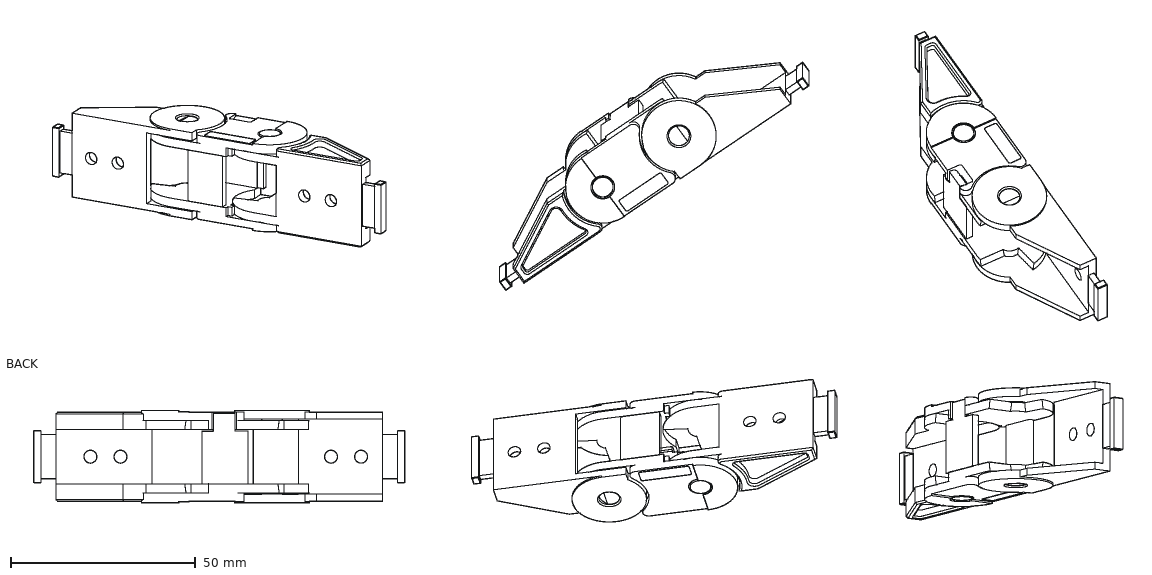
import cadquery as cq
import math

LINK_HEIGHT = 20.2
CHAIN_WIDTH = 25.0
LINK_RADIUS = LINK_HEIGHT / 2
PIN_X = (-14.2, 10.9)
END_X = 44.1
STUB_END_X = 50.2

DISC_Z = CHAIN_WIDTH / 2
SIDE_Z = 12.0
SPLIT_Z = 9.8
MID_WALL_Z = (SPLIT_Z + SIDE_Z) / 2
INNER_Z = 7.3
FLOOR_Y = -LINK_RADIUS

PIN_RADIUS = 2.8
RIM_CHAMFER = 0.4
SHOULDER_RADIUS = 10.7

BRACKET_TOP_Y = 4.8
BRACKET_TIP_Y = -5.0


def box(x0, x1, y0, y1, z0, z1):
    return cq.Workplane("XY").box(x1 - x0, y1 - y0, z1 - z0, centered=False).translate((x0, y0, z0))


def disc(x, radius, z0, z1):
    return cq.Workplane("XY", origin=(x, 0, z0)).circle(radius).extrude(z1 - z0)


def prism(points, z0, z1):
    return cq.Workplane("XY", origin=(0, 0, z0)).polyline(points).close().extrude(z1 - z0)


def both_sides(upper):
    """The upper side wall and its mirror copy at -Z."""
    return upper.union(upper.mirror("XY"))


STOP_BACK = 1.6
STOP_Y = (-2.2, -0.8)
STOP_OVERRUN = 1.0
STOP_DRAFT = 8
HUB_RADIUS = 3.3


def inner_ear(pin_x, root_x, root_top_y):
    """Round ear with a stop gap in its upper -X quarter and a hub around the joint axis."""
    ear = disc(pin_x, LINK_RADIUS, INNER_Z, SPLIT_Z)
    ear = ear.union(box(pin_x, root_x, FLOOR_Y, root_top_y, INNER_Z, SPLIT_Z))
    rim_x = pin_x - LINK_RADIUS - STOP_OVERRUN
    top_y = LINK_RADIUS + STOP_OVERRUN
    back_x = pin_x - STOP_BACK
    gap = (
        cq.Workplane("XY", origin=(0, 0, INNER_Z))
        .polyline([(rim_x, STOP_Y[0]), (back_x, STOP_Y[1]), (back_x, top_y), (rim_x, top_y)])
        .close()
        .extrude(SPLIT_Z - INNER_Z, taper=STOP_DRAFT)
    )
    return ear.cut(gap).union(disc(pin_x, HUB_RADIUS, INNER_Z, SPLIT_Z))


def pin_hole(pin_x, inner_z, face_z):
    """Hole through an outer ear with a bevelled rim at face_z, open above it."""
    hole = disc(pin_x, PIN_RADIUS, inner_z, face_z)
    rim = disc(pin_x, PIN_RADIUS + RIM_CHAMFER, face_z - RIM_CHAMFER, DISC_Z + RIM_CHAMFER)
    return hole.union(rim.faces("<Z").chamfer(RIM_CHAMFER))


def cut_shoulder(wall, pin_x, corner_y, horn_radius):
    """Cut a concave shoulder around a joint disc and round the horns it leaves at height corner_y."""
    clearance = disc(pin_x, SHOULDER_RADIUS, SPLIT_Z, SIDE_Z)
    wall = wall.cut(clearance)
    for y in corner_y:
        corner_x = pin_x + math.sqrt(SHOULDER_RADIUS ** 2 - y ** 2)
        horn_edge = cq.selectors.NearestToPointSelector((corner_x, y, MID_WALL_Z))
        wall = wall.edges(horn_edge).fillet(horn_radius)
    return wall


STUB_HALF_WIDTH = 7.1
STUB_HEAD_LENGTH = 2.0
STUB_HEAD_TOP_Y = -7.1
STUB_HEAD_CHAMFER = 0.2
NECK_HALF_WIDTH = 6.0
NECK_Y = (-9.3, -7.5)


def stub(side):
    """T-shaped strain-relief stub; side is -1 for the left end and 1 for the right."""
    head_x = STUB_END_X - STUB_HEAD_LENGTH
    neck = box(END_X, head_x, *NECK_Y, -NECK_HALF_WIDTH, NECK_HALF_WIDTH)
    head = box(head_x, STUB_END_X, FLOOR_Y, STUB_HEAD_TOP_Y, -STUB_HALF_WIDTH, STUB_HALF_WIDTH)
    head = head.faces("<Z or >Z").chamfer(STUB_HEAD_CHAMFER)
    body = neck.union(head)
    return body if side > 0 else body.mirror("YZ")


HOLE_RADIUS = 1.7
HOLE_PITCH = 8.1


def screw_holes(first_x):
    """Two screw holes through the bottom plate, at first_x and one pitch further along +X."""
    holes = cq.Workplane("XZ", origin=(0, LINK_RADIUS, 0))
    holes = holes.pushPoints([(first_x, 0), (first_x + HOLE_PITCH, 0)])
    return holes.circle(HOLE_RADIUS).extrude(2 * LINK_RADIUS)


LEFT_SLOPE_X = -26.3
LEFT_EAR_X = -7.5
LEFT_EAR_CORNER_Y = -7.3
LEFT_WINDOW_X = -21.4
LEFT_PLATE_THICKNESS = 2.4
LEFT_EAR_Z = 10.1
LEFT_HOLE_X = -38.3


def make_left_bracket():
    pin_x = PIN_X[0]
    profile = [
        (-END_X, FLOOR_Y), (LEFT_EAR_X, FLOOR_Y), (LEFT_EAR_X, LEFT_EAR_CORNER_Y),
        (pin_x, BRACKET_TOP_Y), (LEFT_SLOPE_X, BRACKET_TOP_Y), (-END_X, BRACKET_TIP_Y),
    ]
    side = prism(profile, LEFT_EAR_Z, SIDE_Z)
    side = side.union(disc(pin_x, LINK_RADIUS, LEFT_EAR_Z, DISC_Z))
    side = side.union(box(pin_x, LEFT_EAR_X, FLOOR_Y, LEFT_EAR_CORNER_Y, SIDE_Z, DISC_Z))
    side = side.cut(pin_hole(pin_x, LEFT_EAR_Z, DISC_Z))
    plate = box(-END_X, LEFT_WINDOW_X, FLOOR_Y, FLOOR_Y + LEFT_PLATE_THICKNESS, -SIDE_Z, SIDE_Z)
    return plate.union(both_sides(side)).union(stub(-1)).cut(screw_holes(LEFT_HOLE_X))


MIDDLE_HORN_RADIUS = 1.7
EAR_CLEARANCE = 0.1
WALL_END_X = 2.9
LIP_END_X = 4.1
LIP_Y = (-9.0, -7.4)

WEB_X = (-9.2, 1.7)
WEB_Y = (-9.9, -8.0)
WEB_ROUND = 0.9

LABEL_X = (-4.2, 9.7)
LABEL_Y = (-9.4, -5.6)
LABEL_DEPTH = 0.1
LABEL_CORNER = 0.5

NOTCH_X = (-4.7, 2.0)
NOTCH_FLOOR_Y = 5.8
NOTCH_CORNER = 0.6

LEFT_PIN_Z = 11.9
PIN_RAMP_START = 1.0
PIN_RAMP_DROP = 0.9


def middle_outer_wall():
    """Outer layer: concave shoulder on the left, round ear on the right."""
    left_x, right_x = PIN_X
    wall = box(left_x, right_x, FLOOR_Y, LINK_RADIUS, SPLIT_Z, SIDE_Z)
    wall = cut_shoulder(wall, left_x, (FLOOR_Y, LINK_RADIUS), MIDDLE_HORN_RADIUS)
    wall = wall.union(disc(right_x, LINK_RADIUS, SPLIT_Z, SIDE_Z))
    raised = disc(right_x, LINK_RADIUS, SIDE_Z, DISC_Z)
    return wall.union(raised.intersect(box(right_x, END_X, FLOOR_Y, LINK_RADIUS, SIDE_Z, DISC_Z)))


def middle_inner_wall():
    """Inner layer: left ear, and a concave end with a small lip facing the right ear."""
    left_x, right_x = PIN_X
    wall = inner_ear(left_x, WALL_END_X, LINK_RADIUS)
    wall = wall.union(box(WALL_END_X, LIP_END_X, *LIP_Y, INNER_Z, SPLIT_Z))
    return wall.cut(disc(right_x, LINK_RADIUS + EAR_CLEARANCE, INNER_Z, SPLIT_Z))


def ramped_pin():
    """Left joint pin: its end ramps down towards -X so that it snaps into the bracket."""
    pin_x = PIN_X[0]
    ramp = (
        cq.Workplane("XZ", origin=(0, PIN_RADIUS, 0))
        .moveTo(pin_x - PIN_RAMP_START, LEFT_PIN_Z)
        .lineTo(pin_x - PIN_RADIUS, LEFT_PIN_Z - PIN_RAMP_DROP)
        .lineTo(pin_x - PIN_RADIUS, LEFT_PIN_Z)
        .close()
        .extrude(2 * PIN_RADIUS)
    )
    return disc(pin_x, PIN_RADIUS, SPLIT_Z, LEFT_PIN_Z).cut(ramp)


def rounded_pocket(x_range, y_range, z0, z1, corner):
    return box(*x_range, *y_range, z0, z1).edges("|Z").fillet(corner)


def crossbar_notch():
    notch_top_y = LINK_RADIUS + 2 * NOTCH_CORNER
    return rounded_pocket(NOTCH_X, (NOTCH_FLOOR_Y, notch_top_y), INNER_Z, SIDE_Z, NOTCH_CORNER)


def middle_web():
    """Cross web between the side walls with a fully rounded left end."""
    web = box(*WEB_X, *WEB_Y, -INNER_Z, INNER_Z)
    return web.edges("|Z and <X").fillet(WEB_ROUND)


def make_middle_link():
    side = middle_outer_wall().union(middle_inner_wall())
    side = side.cut(pin_hole(PIN_X[1], SPLIT_Z, SIDE_Z)).union(ramped_pin())
    side = side.cut(rounded_pocket(LABEL_X, LABEL_Y, SIDE_Z - LABEL_DEPTH, SIDE_Z, LABEL_CORNER))
    return both_sides(side).union(middle_web()).cut(crossbar_notch())


RIGHT_SLOPE_X = 26.0
RIGHT_WINDOW_X = 18.2
RIGHT_PLATE_THICKNESS = 2.8
RIGHT_HORN_RADIUS = 1.2
RIGHT_HOLE_X = 26.7
RIGHT_PIN_Z = 12.2
EDGE_CHAMFER = 0.5

POCKET_RADIUS = 13.2
POCKET_FLOOR_Y = -8.1
POCKET_TIP_X = 41.8
POCKET_WALL = 2.0
POCKET_CORNER = 0.6
POCKET_TOP_CORNER = 1.5


def right_outline(start_x):
    """Side outline of the bracket from start_x to its outer end."""
    return [
        (start_x, FLOOR_Y), (END_X, FLOOR_Y), (END_X, BRACKET_TIP_Y),
        (RIGHT_SLOPE_X, BRACKET_TOP_Y), (start_x, BRACKET_TOP_Y),
    ]


def side_pocket():
    """Pocket bounded by an arc about the joint, a floor, an end and a line parallel to the slope."""
    pin_x = PIN_X[1]
    slope = (BRACKET_TIP_Y - BRACKET_TOP_Y) / (END_X - RIGHT_SLOPE_X)
    drop = POCKET_WALL * math.hypot(1, slope)

    def top_y(x):
        return BRACKET_TOP_Y + slope * (x - RIGHT_SLOPE_X) - drop

    pocket = prism([
        (pin_x, POCKET_FLOOR_Y), (POCKET_TIP_X, POCKET_FLOOR_Y),
        (POCKET_TIP_X, top_y(POCKET_TIP_X)), (pin_x, top_y(pin_x)),
    ], SPLIT_Z, SIDE_Z)
    pocket = pocket.cut(disc(pin_x, POCKET_RADIUS, SPLIT_Z, SIDE_Z))
    pocket = pocket.edges("|Z and >Y").fillet(POCKET_TOP_CORNER)
    sharp_corners = "(|Z and <Y) or (|Z and >X)"
    return pocket.edges(sharp_corners).fillet(POCKET_CORNER)


def right_outer_wall():
    pin_x = PIN_X[1]
    wall = prism(right_outline(pin_x), SPLIT_Z, SIDE_Z)
    wall = cut_shoulder(wall, pin_x, (FLOOR_Y,), RIGHT_HORN_RADIUS)
    return wall.cut(side_pocket()).faces(">Z").chamfer(EDGE_CHAMFER)


def make_right_bracket():
    side = inner_ear(PIN_X[1], RIGHT_WINDOW_X, BRACKET_TOP_Y)
    side = side.union(prism(right_outline(RIGHT_WINDOW_X), INNER_Z, SPLIT_Z))
    side = side.union(right_outer_wall()).union(disc(PIN_X[1], PIN_RADIUS, SPLIT_Z, RIGHT_PIN_Z))
    plate = box(RIGHT_WINDOW_X, END_X, FLOOR_Y, FLOOR_Y + RIGHT_PLATE_THICKNESS, -INNER_Z, INNER_Z)
    return plate.union(both_sides(side)).union(stub(1)).cut(screw_holes(RIGHT_HOLE_X))


CROSSBAR_X = (-7.8, 4.7)
CROSSBAR_STEP_X = 2.9
CROSSBAR_STEP = 0.3
CROSSBAR_Y = (7.8, 9.7)
CROSSBAR_TOP_Z = 6.9
TONGUE_X = (-4.3, 1.6)
TONGUE_FLOOR_Y = 7.0
TONGUE_TOP_Z = 11.7
TONGUE_ROUND = 2.5


def make_crossbar():
    bar = box(*CROSSBAR_X, *CROSSBAR_Y, -INNER_Z, CROSSBAR_TOP_Z)
    step_y = (CROSSBAR_Y[0], CROSSBAR_Y[0] + CROSSBAR_STEP)
    bar = bar.cut(box(CROSSBAR_STEP_X, CROSSBAR_X[1], *step_y, -INNER_Z, CROSSBAR_TOP_Z))
    neck = box(*TONGUE_X, *CROSSBAR_Y, CROSSBAR_TOP_Z, INNER_Z)
    tongue = box(*TONGUE_X, TONGUE_FLOOR_Y, CROSSBAR_Y[1], INNER_Z, TONGUE_TOP_Z)
    return bar.union(neck).union(tongue.edges(">Z and <Y").fillet(TONGUE_ROUND))


left_bracket = make_left_bracket()
middle_link = make_middle_link()
right_bracket = make_right_bracket()
crossbar = make_crossbar()

bodies = [left_bracket, middle_link, right_bracket, crossbar]
result = cq.Compound.makeCompound([body.solids().val() for body in bodies])